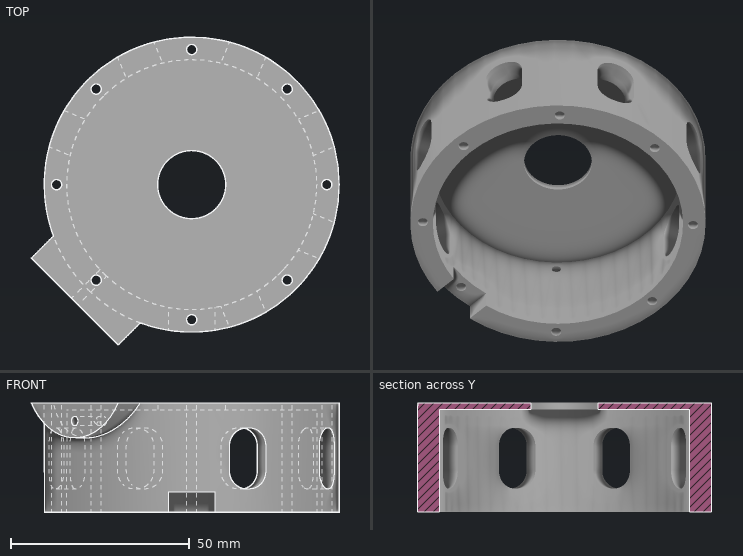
import cadquery as cq
import math

outer_radius = 41.3
inner_radius = 35.0
height = 30.65
lid_thickness = 2.0
center_hole_diameter = 19.0

screw_hole_count = 8
screw_circle_radius = 37.8
screw_hole_diameter = 2.8

slot_width = 11.0
slot_height = 17.0
slot_corner_radius = 5.0
slot_center_z = 15.1
slot_angles = [-67.5, -22.5, 22.5, 67.5, 112.5, 157.5]

boss_angle = -135.0
boss_face_distance = 46.3
boss_width = 34.4
boss_depth = 9.8
boss_hole_diameter = 2.6
boss_hole_drop = 5.1

notch_width = 13.0
notch_height = 5.7


def radial_plane(angle, distance, z):
    """Plane facing outward at the given angle; local x is tangential, local y is up."""
    direction = math.radians(angle)
    outward = (math.cos(direction), math.sin(direction), 0)
    tangent = (-math.sin(direction), math.cos(direction), 0)
    origin = (distance * outward[0], distance * outward[1], z)
    return cq.Plane(origin=origin, xDir=tangent, normal=outward)


def make_body():
    return cq.Workplane("XY").circle(outer_radius).extrude(height)


def make_boss():
    """Circular segment running from the axis out to the flat boss face."""
    return (
        cq.Workplane(radial_plane(boss_angle, 0, height))
        .moveTo(-boss_width / 2, 0)
        .threePointArc((0, -boss_depth), (boss_width / 2, 0))
        .close()
        .extrude(boss_face_distance)
    )


def make_cavity():
    return cq.Workplane("XY").circle(inner_radius).extrude(height - lid_thickness)


def make_center_hole():
    return cq.Workplane("XY").circle(center_hole_diameter / 2).extrude(height)


def make_screw_holes():
    return (
        cq.Workplane("XY")
        .polarArray(screw_circle_radius, 0, 360, screw_hole_count)
        .circle(screw_hole_diameter / 2)
        .extrude(height)
    )


def make_slot(angle):
    """Upright slot with rounded corners running from the axis out through the wall."""
    plane = radial_plane(angle, 0, slot_center_z)
    return (
        cq.Workplane(plane)
        .rect(slot_width, slot_height)
        .extrude(outer_radius)
        .edges(cq.selectors.ParallelDirSelector(plane.zDir))
        .fillet(slot_corner_radius)
    )


def make_boss_hole():
    """Radial hole from the boss face through the wall into the cavity."""
    return (
        cq.Workplane(radial_plane(boss_angle, boss_face_distance, height - boss_hole_drop))
        .circle(boss_hole_diameter / 2)
        .extrude(inner_radius - boss_face_distance - boss_hole_diameter)
    )


def make_notch():
    return (
        cq.Workplane("XY")
        .center(0, -outer_radius / 2)
        .rect(notch_width, outer_radius)
        .extrude(notch_height)
    )


result = make_body().union(make_boss())
result = result.cut(make_cavity()).cut(make_center_hole()).cut(make_screw_holes())
for slot_angle in slot_angles:
    result = result.cut(make_slot(slot_angle))
result = result.cut(make_boss_hole()).cut(make_notch())